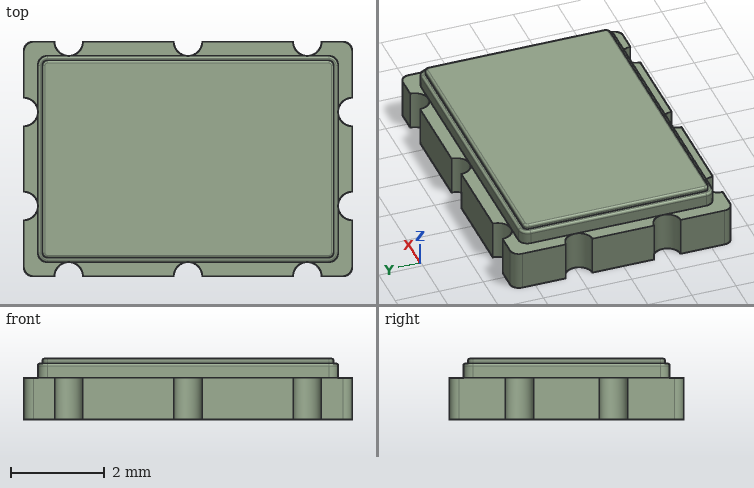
import cadquery as cq

base_length = 7
base_width = 5.0
base_height = 0.89
base_corner_radius = 0.2

notch_radius = 0.3
end_notch_offset = 1.0
side_notch_pitch = 2.54

lid_inset = 0.3
lid_height = 0.31
cap_inset = 0.1
cap_height = 0.105
rim_radius = 0.0525

lid_length = base_length - 2 * lid_inset
lid_width = base_width - 2 * lid_inset
lid_corner_radius = 0.2
cap_length = lid_length - 2 * cap_inset
cap_width = lid_width - 2 * cap_inset
cap_corner_radius = lid_corner_radius - cap_inset


def rounded_plate(length, width, height, corner_radius, bottom):
    """Centred plate with rounded vertical corners, standing on the height `bottom`."""
    plate = cq.Workplane("XY").workplane(offset=bottom).rect(length, width).extrude(height)
    return plate.edges("|Z").fillet(corner_radius)


def notch_centers():
    """Castellation centres, all lying on the outer edges of the base."""
    long_wall = [
        (step * side_notch_pitch, side * base_width / 2)
        for step in (-1, 0, 1)
        for side in (-1, 1)
    ]
    short_wall = [
        (end * base_length / 2, side * end_notch_offset)
        for end in (-1, 1)
        for side in (-1, 1)
    ]
    return long_wall + short_wall


base = rounded_plate(base_length, base_width, base_height, base_corner_radius, 0)
notches = cq.Workplane("XY").pushPoints(notch_centers()).circle(notch_radius).extrude(base_height)
base = base.cut(notches)

lid = rounded_plate(lid_length, lid_width, lid_height, lid_corner_radius, base_height)
lid = lid.faces(">Z").edges().fillet(rim_radius)

cap_bottom = base_height + lid_height
cap = rounded_plate(cap_length, cap_width, cap_height, cap_corner_radius, cap_bottom)
cap = cap.faces(">Z").edges().fillet(rim_radius)

result = base.union(lid).union(cap)